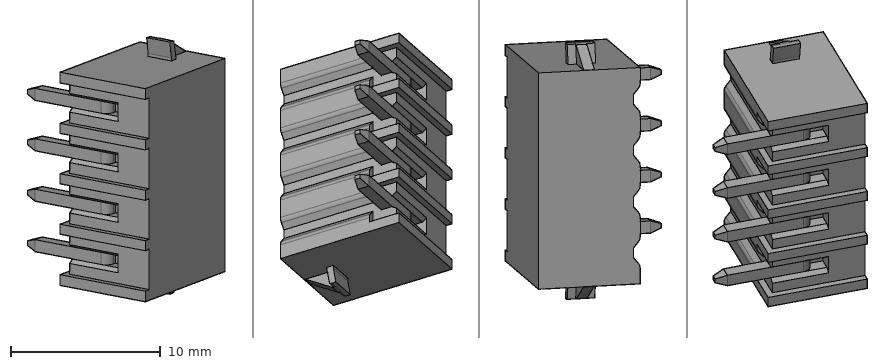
import cadquery as cq
import math

CELL_COUNT = 4
CELL_PITCH = 3.5
CELL_OPENING = 2.8
HOUSING_WIDTH = 7.0
HOUSING_DEPTH = 9.2
HOUSING_HEIGHT = 14.8
TOTAL_HEIGHT = 17.5

FACE_RECESS = 0.46
SIDE_RECESS_DEPTH = 2.3

GROOVE_FLOOR_HALF = 0.33
GROOVE_LIP_RADIUS = 0.52
GROOVE_FLANK_ANGLE = math.radians(40)

PIN_SIZE = 0.84
PIN_FRONT = 0.8
PIN_PROTRUSION = 3.4
PIN_TIP_LENGTH = 0.8
PIN_TIP_DEPTH = 0.4
PIN_TIP_HEIGHT = 0.3
PIN_LEG_RIGHT = 3.4
PIN_BEND_RADIUS = 0.62
SLOT_END = 4.42
SLOT_MOUTH_HALF = 0.65

LATCH_WIDTH = 1.9
LATCH_BASE_HEIGHT = 0.21
LATCH_BASE_FRONT = 6.59
LATCH_BASE_BACK = 7.13
LATCH_TIP_FRONT = 6.4
LATCH_TIP_BACK = 6.71
LATCH_PLATE_BACK = 6.88
TIP_BEVEL_DROP = 0.06
RIB_WIDTH = 0.74
RIB_TOP = 6.99
RIB_END = 9.1

PIN_BACK = PIN_FRONT + PIN_SIZE
LATCH_HEIGHT = (TOTAL_HEIGHT - HOUSING_HEIGHT) / 2
LATCH_CENTER = HOUSING_WIDTH / 2
CELL_CENTERS = [(i - (CELL_COUNT - 1) / 2) * CELL_PITCH for i in range(CELL_COUNT)]


def box(x_range, y_range, z_range):
    """Axis-aligned block between the given limits."""
    size = [high - low for low, high in (x_range, y_range, z_range)]
    return cq.Workplane("XY").box(*size, centered=False).translate((x_range[0], y_range[0], z_range[0]))


def make_pin(z):
    """Square bent pin: tapered tip on the left, rounded bend, leg into the housing."""
    half = PIN_SIZE / 2
    shank_left = PIN_TIP_LENGTH - PIN_PROTRUSION
    leg_left = PIN_LEG_RIGHT - PIN_SIZE
    bend_mid = PIN_BEND_RADIUS * math.sin(math.pi / 4)
    bend_x = PIN_LEG_RIGHT - PIN_BEND_RADIUS
    bend_y = PIN_FRONT + PIN_BEND_RADIUS
    bent_bar = (
        cq.Workplane("XY", origin=(0, 0, z - half))
        .moveTo(shank_left, PIN_FRONT)
        .lineTo(bend_x, PIN_FRONT)
        .threePointArc((bend_x + bend_mid, bend_y - bend_mid), (PIN_LEG_RIGHT, bend_y))
        .lineTo(PIN_LEG_RIGHT, SIDE_RECESS_DEPTH)
        .lineTo(leg_left, SIDE_RECESS_DEPTH)
        .lineTo(leg_left, PIN_BACK)
        .lineTo(shank_left, PIN_BACK)
        .close()
        .extrude(PIN_SIZE)
    )
    tip = (
        cq.Workplane("YZ", origin=(-PIN_PROTRUSION, PIN_FRONT + half, z))
        .rect(PIN_TIP_DEPTH, PIN_TIP_HEIGHT)
        .workplane(offset=PIN_TIP_LENGTH)
        .rect(PIN_SIZE, PIN_SIZE)
        .loft(ruled=True)
    )
    return bent_bar.union(tip)


def make_cell_recess(z):
    """Step back the front face, and the front part of the left side, between two rails."""
    z_range = (z - CELL_OPENING / 2, z + CELL_OPENING / 2)
    front = box((0, HOUSING_WIDTH), (0, FACE_RECESS), z_range)
    side = box((0, FACE_RECESS), (0, SIDE_RECESS_DEPTH), z_range)
    return front.union(side)


def make_groove(z):
    """Flat-bottomed groove with sloping flanks and rounded lips along the left side."""
    def lip_point(angle):
        """Offset in (X, Z) along the lip arc, from the left face, turned by the given angle."""
        return (
            GROOVE_LIP_RADIUS * (1 - math.cos(angle)),
            GROOVE_LIP_RADIUS * math.sin(angle),
        )

    flank_x, flank_drop = lip_point(GROOVE_FLANK_ANGLE)
    mid_x, mid_drop = lip_point(GROOVE_FLANK_ANGLE / 2)
    flank_half = GROOVE_FLOOR_HALF + (FACE_RECESS - flank_x) / math.tan(GROOVE_FLANK_ANGLE)
    mouth_half = flank_half + flank_drop
    return (
        cq.Workplane("XZ", origin=(0, HOUSING_DEPTH, z))
        .moveTo(0, mouth_half)
        .threePointArc((mid_x, mouth_half - mid_drop), (flank_x, flank_half))
        .lineTo(FACE_RECESS, GROOVE_FLOOR_HALF)
        .lineTo(FACE_RECESS, -GROOVE_FLOOR_HALF)
        .lineTo(flank_x, -flank_half)
        .threePointArc((mid_x, mid_drop - mouth_half), (0, -mouth_half))
        .close()
        .extrude(HOUSING_DEPTH)
    )


def make_pin_slot(z):
    """Slot that holds the pin: flared mouth, then straight walls on the pin's sides."""
    half = PIN_SIZE / 2
    return (
        cq.Workplane("YZ", origin=(0, 0, z))
        .polyline([
            (FACE_RECESS, SLOT_MOUTH_HALF),
            (PIN_FRONT, half),
            (PIN_BACK, half),
            (PIN_BACK, -half),
            (PIN_FRONT, -half),
            (FACE_RECESS, -SLOT_MOUTH_HALF),
        ])
        .close()
        .extrude(SLOT_END)
    )


def make_latch():
    """Leaning latch plate with its bracing rib, on the housing's top face."""
    top = HOUSING_HEIGHT / 2
    rib_top_height = LATCH_HEIGHT - TIP_BEVEL_DROP
    bevel_share = (LATCH_PLATE_BACK - LATCH_TIP_BACK) / (RIB_TOP - LATCH_TIP_BACK)
    plate_back_height = LATCH_HEIGHT - TIP_BEVEL_DROP * bevel_share
    plate = (
        cq.Workplane("YZ", origin=(LATCH_CENTER - LATCH_WIDTH / 2, 0, top))
        .polyline([
            (LATCH_BASE_FRONT, 0),
            (LATCH_BASE_FRONT, LATCH_BASE_HEIGHT),
            (LATCH_TIP_FRONT, LATCH_HEIGHT),
            (LATCH_TIP_BACK, LATCH_HEIGHT),
            (LATCH_PLATE_BACK, plate_back_height),
            (LATCH_BASE_BACK, 0),
        ])
        .close()
        .extrude(LATCH_WIDTH)
    )
    rib = (
        cq.Workplane("YZ", origin=(LATCH_CENTER - RIB_WIDTH / 2, 0, top))
        .polyline([
            (LATCH_TIP_BACK, 0),
            (LATCH_TIP_BACK, LATCH_HEIGHT),
            (RIB_TOP, rib_top_height),
            (RIB_END, 0),
        ])
        .close()
        .extrude(RIB_WIDTH)
    )
    return plate.union(rib)


def make_housing(pins):
    """Housing block with recesses, grooves, pin slots, pin holes and two latches."""
    half_height = HOUSING_HEIGHT / 2
    housing = box((0, HOUSING_WIDTH), (0, HOUSING_DEPTH), (-half_height, half_height))
    latch = make_latch()
    housing = housing.union(latch).union(latch.mirror("XY"))
    for z, pin in zip(CELL_CENTERS, pins):
        housing = housing.cut(make_cell_recess(z))
        housing = housing.cut(make_groove(z))
        housing = housing.cut(make_pin_slot(z))
        housing = housing.cut(pin)
    return housing


pins = [make_pin(z) for z in CELL_CENTERS]
housing = make_housing(pins)

result = cq.Compound.makeCompound([housing.val(), *[pin.val() for pin in pins]])